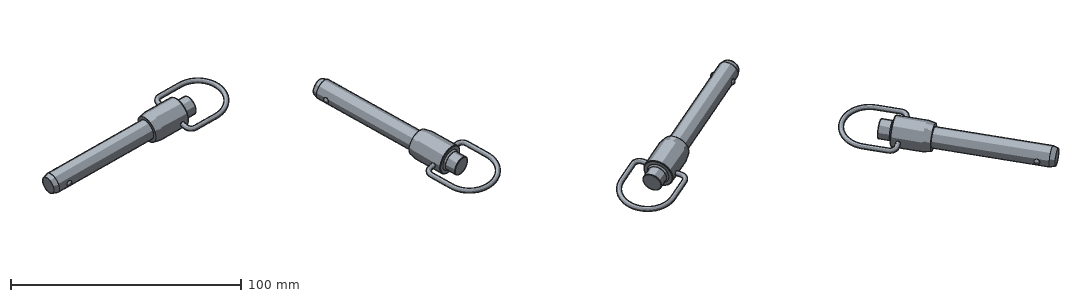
import cadquery as cq

shaft_radius = 4.7
tip_radius = 4.0
tip_length = 2.4

collar_radius = 7.0
collar_nose_radius = 6.3
collar_start = 54.9
collar_nose_length = 3.5
collar_end = 72.8
collar_edge = 0.3

button_radius = 4.5
button_foot_radius = 5.1
button_foot_length = 0.9
button_end = 79.0
button_edge = 0.2

ball_radius = 1.5
ball_position = 7.85
ball_span = 11.4

wire_diameter = 2.2
wire_radius = wire_diameter / 2
ring_width = 26.9
overall_length = 96.9
ring_corner_radius = 3.1
crossbar_position = 69.1


def turned_body():
    """Shaft, collar and push button revolved about Y as one profile."""
    nose_end = collar_start + collar_nose_length
    profile = (
        cq.Workplane("XY")
        .lineTo(tip_radius, 0)
        .lineTo(shaft_radius, tip_length)
        .lineTo(shaft_radius, collar_start)
        .lineTo(collar_nose_radius, collar_start)
        .lineTo(collar_radius, nose_end)
        .lineTo(collar_radius, collar_end - collar_edge)
        .lineTo(collar_radius - collar_edge, collar_end)
        .lineTo(button_foot_radius, collar_end)
        .lineTo(button_radius, collar_end + button_foot_length)
        .lineTo(button_radius, button_end - button_edge)
        .lineTo(button_radius - button_edge, button_end)
        .lineTo(0, button_end)
        .close()
    )
    return profile.revolve(360, (0, 0, 0), (0, 1, 0))


def locking_balls():
    """Two balls standing out of opposite sides of the shaft near the tip."""
    offset = ball_span / 2 - ball_radius
    centers = [(-offset, ball_position), (offset, ball_position)]
    return cq.Workplane("XY").pushPoints(centers).sphere(ball_radius)


def wire_ring():
    """Round wire bent to a D, with its straight crossbar passing through the collar."""
    side = ring_width / 2 - wire_radius
    bow_start = overall_length - ring_width / 2
    corner_end = crossbar_position + ring_corner_radius
    bar_end = side - ring_corner_radius
    path = (
        cq.Workplane("XY")
        .moveTo(0, crossbar_position)
        .lineTo(bar_end, crossbar_position)
        .tangentArcPoint((side, corner_end), relative=False)
        .lineTo(side, bow_start)
        .threePointArc((0, bow_start + side), (-side, bow_start))
        .lineTo(-side, corner_end)
        .tangentArcPoint((-bar_end, crossbar_position), relative=False)
        .lineTo(0, crossbar_position)
    )
    section = cq.Workplane("YZ").center(crossbar_position, 0).circle(wire_radius)
    return section.sweep(path)


result = turned_body().union(locking_balls()).union(wire_ring())